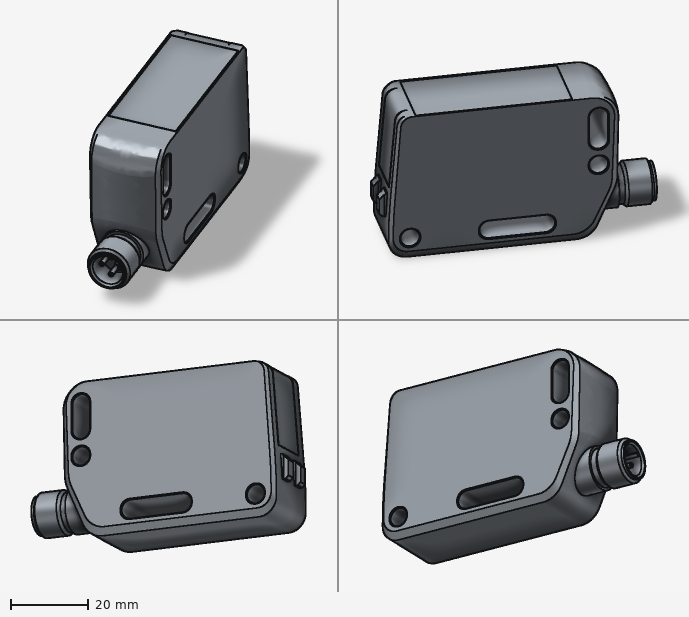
import cadquery as cq
import math

width = 20.0
height = 41.7
half_width = width / 2
bevel_width = 1.0
bevel_x = half_width - bevel_width

rear_bend_z = 11.4
rear_lean = 2.5
slope_start_y = -53.75
slope_end_y = -60.6
slope_end_z = 15.6
front_top_y = -61.1

crown = 0.9
crown_slope_rise = 0.8
crown_top_radius = 7.65

bottom_setback = 2.1
rear_setback = 1.0
rear_top_setback = 0.7
front_setback = 1.2
slope_setback = 1.6

rear_top_radius = 3.1
rear_bend_radius = 139.9
rear_bottom_radius = 5.0
slope_start_radius = 6.25
slope_end_radius = 9.6
front_top_radius = 6.6
face_top_radius = 5.9

hole_waist_diameter = 4.35
hole_diameter = 5.0
hole_chamfer = 0.3
low_hole_z = 6.05
rear_hole_y = -5.5
front_hole_y = -55.5
front_hole_z = 21.9
low_slot_y = -33.95
low_slot_length = 20.0
high_slot_z = 32.5
high_slot_length = 11.9

label_width = 18.9
label_length = 41.5
label_rear_y = -7.1
label_depth = 0.15

window_width = 12.2
window_bottom_z = 19.5
window_depth = 0.15

connector_z = 10.0
connector_diameter = 12.0
neck_diameter = 10.45
tip_y = -72.0
collar_end_y = -61.9
neck_end_y = -63.6
thread_chamfer = 0.8
tip_chamfer = 0.65
tip_lip = 0.7
socket_diameter = 8.4
socket_mouth_diameter = 9.6
socket_mouth_depth = 0.6
socket_depth = 6.6
connector_root_y = -51.5

pin_diameter = 1.3
pin_tip_chamfer = 0.3
pin_circle_radius = 2.6
pin_count = 4
pin_end_y = -69.65
key_width = 1.0
key_height = 0.9
key_root = 0.2
key_angle = 45.0

button_spacing = 7.35
button_tip_y = 1.6
button_width = 2.8
button_foot_width = 3.25
button_foot_y = 0.3
button_bottom_z = 10.5
button_top_z = 17.3
button_top_slope = 1.8
button_bottom_slope = 0.8
button_root_y = -1.5


def rounded_wire(x, corners):
    """Closed wire in the plane at x; corners are (y, z, radius)."""
    stretches = []
    count = len(corners)
    for i, (y, z, radius) in enumerate(corners):
        here = cq.Vector(x, y, z)
        before = cq.Vector(x, *corners[i - 1][:2])
        after = cq.Vector(x, *corners[(i + 1) % count][:2])
        to_before = (before - here).normalized()
        to_after = (after - here).normalized()
        half_angle = to_before.getAngle(to_after) / 2
        tangent_length = radius / math.tan(half_angle)
        bulge = radius / math.sin(half_angle) - radius
        start = here + to_before * tangent_length
        middle = here + (to_before + to_after).normalized() * bulge
        end = here + to_after * tangent_length
        stretches.append((start, middle, end))
    edges = []
    for i, (start, middle, end) in enumerate(stretches):
        next_start = stretches[(i + 1) % count][0]
        edges.append(cq.Edge.makeThreePointArc(start, middle, end))
        edges.append(cq.Edge.makeLine(end, next_start))
    return cq.Wire.assembleEdges(edges)


def bevel_outline(x, bulge=0.0, slope_rise=0.0, top_radius=front_top_radius):
    """Housing outline at x, with the front face moved forward by bulge."""
    return rounded_wire(x, [
        (-rear_lean, height, rear_top_radius),
        (0, rear_bend_z, rear_bend_radius),
        (0, 0, rear_bottom_radius),
        (slope_start_y, 0, slope_start_radius),
        (slope_end_y - bulge, slope_end_z + slope_rise, slope_end_radius),
        (front_top_y - bulge, height, top_radius),
    ])


def face_outline(x):
    """Outline of the flat side face, inside the bevel."""
    return rounded_wire(x, [
        (-rear_lean - rear_top_setback, height, rear_top_radius),
        (-rear_setback, rear_bend_z, rear_bend_radius),
        (-rear_setback, bottom_setback, rear_bottom_radius - rear_setback),
        (slope_start_y + rear_setback, bottom_setback, slope_start_radius),
        (slope_end_y + slope_setback, slope_end_z, slope_end_radius),
        (front_top_y + front_setback, height, face_top_radius),
    ])


def make_housing():
    core_wires = [
        bevel_outline(-bevel_x),
        bevel_outline(0, crown, crown_slope_rise, crown_top_radius),
        bevel_outline(bevel_x),
    ]
    housing = cq.Workplane(cq.Solid.makeLoft(core_wires, False))
    for side in (-1, 1):
        bevel_wires = [bevel_outline(side * bevel_x), face_outline(side * half_width)]
        housing = housing.union(cq.Workplane(cq.Solid.makeLoft(bevel_wires, True)))
    return housing


def mounting_cutter(y, z, length=0.0, angle=0.0):
    """Hole or slot along X, chamfered at both ends and drafted to a waist at mid-width."""

    def prism(diameter, depth, taper):
        plane = cq.Workplane("YZ", origin=(-half_width, y, z))
        if length:
            shape = plane.slot2D(length - hole_diameter + diameter, diameter, angle)
        else:
            shape = plane.circle(diameter / 2)
        return shape.extrude(depth, taper=taper)

    draft = math.degrees(math.atan((hole_diameter - hole_waist_diameter) / width))
    mouth = prism(hole_diameter + 2 * hole_chamfer, hole_chamfer, 45)
    half_hole = prism(hole_diameter, half_width, draft).union(mouth)
    return half_hole.union(half_hole.mirror("YZ"))


def make_label_recess():
    return cq.Workplane("XY").box(label_width, label_length, label_depth).translate(
        (0, label_rear_y - label_length / 2, height - label_depth / 2)
    )


def make_window_recess(housing):
    """Skin of the upper rear face, as thick as the recess is deep."""
    reach = 3 * rear_top_radius
    block = cq.Workplane("XY").box(
        window_width, reach, height - window_bottom_z, centered=(True, True, False)
    ).translate((0, -reach / 2, window_bottom_z))
    return block.cut(housing.translate((0, -window_depth, 0)))


def revolve_about_connector(points):
    """Turn (radius, y) points about the connector axis."""
    profile = cq.Workplane("XY", origin=(0, 0, connector_z)).polyline(points).close()
    return profile.revolve(360, (0, 0, 0), (0, 1, 0))


def make_plug():
    outer = connector_diameter / 2
    neck = neck_diameter / 2
    return revolve_about_connector([
        (0, connector_root_y),
        (outer, connector_root_y),
        (outer, collar_end_y),
        (neck, collar_end_y),
        (neck, neck_end_y),
        (outer, neck_end_y - thread_chamfer),
        (outer, tip_y + tip_lip + tip_chamfer),
        (neck, tip_y + tip_lip),
        (neck, tip_y),
        (0, tip_y),
    ])


def make_socket():
    inner = socket_diameter / 2
    return revolve_about_connector([
        (0, tip_y),
        (socket_mouth_diameter / 2, tip_y),
        (inner, tip_y + socket_mouth_depth),
        (inner, tip_y + socket_depth),
        (0, tip_y + socket_depth),
    ])


def make_pins():
    floor = cq.Workplane("XZ", origin=(0, tip_y + socket_depth, connector_z))
    pin_length = tip_y + socket_depth - pin_end_y
    pins = floor.polarArray(pin_circle_radius, 0, 360, pin_count).circle(pin_diameter / 2).extrude(pin_length)
    return pins.faces("<Y").chamfer(pin_tip_chamfer)


def make_key():
    """Coding rib along the socket wall, rooted a little way into the wall."""
    rib_length = socket_depth - socket_mouth_depth
    rib_height = key_height + key_root
    rib_center_x = socket_diameter / 2 + key_root - rib_height / 2
    rib = cq.Workplane("XZ").center(rib_center_x, 0).rect(rib_height, key_width).extrude(rib_length)
    rib = rib.rotate((0, 0, 0), (0, 1, 0), -key_angle)
    return rib.translate((0, tip_y + socket_depth, connector_z))


def make_button(x):
    cap = cq.Workplane("YZ", origin=(x, 0, 0)).polyline([
        (button_root_y, button_bottom_z),
        (button_tip_y - button_bottom_slope, button_bottom_z),
        (button_tip_y, button_bottom_z + button_bottom_slope),
        (button_tip_y, button_top_z - button_top_slope),
        (button_tip_y - button_top_slope, button_top_z),
        (button_root_y, button_top_z),
    ]).close()
    button = cap.extrude(button_foot_width / 2, both=True)
    tip = cq.Workplane("XY").box(
        button_width, button_tip_y - button_foot_y, height, centered=(True, False, False)
    ).translate((x, button_foot_y, 0))
    foot = cq.Workplane("XY").box(
        button_foot_width, button_foot_y - button_root_y, height, centered=(True, False, False)
    ).translate((x, button_root_y, 0))
    return button.intersect(tip.union(foot))


housing = make_housing()
result = housing.cut(make_window_recess(housing)).cut(make_label_recess())
result = result.union(make_plug())
result = result.cut(make_socket()).union(make_pins()).union(make_key())

for button_x in (-button_spacing / 2, button_spacing / 2):
    result = result.union(make_button(button_x))

result = result.cut(mounting_cutter(rear_hole_y, low_hole_z))
result = result.cut(mounting_cutter(front_hole_y, front_hole_z))
result = result.cut(mounting_cutter(low_slot_y, low_hole_z, low_slot_length))
result = result.cut(mounting_cutter(front_hole_y, high_slot_z, high_slot_length, 90))